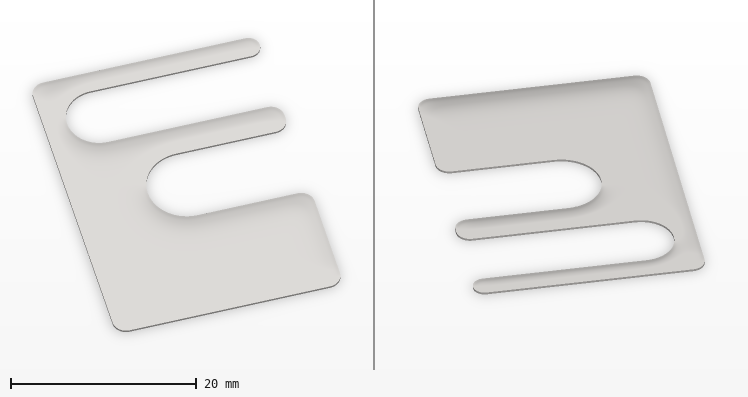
import cadquery as cq

length = 35.05
width = 25.4
thickness = 0.25
corner_radius = 1.5

outer_finger_width = 2.52
long_slot_width = 7.15
inner_finger_width = 3.5
short_slot_width = 8.7

long_slot_depth = 22.9
short_slot_depth = 17.05

outer_tip_flat = 0.007
outer_tip_radius = (outer_finger_width - outer_tip_flat) / 2

long_slot_start = outer_finger_width
long_slot_end = long_slot_start + long_slot_width
short_slot_start = long_slot_end + inner_finger_width
short_slot_end = short_slot_start + short_slot_width


def open_slot(start, slot_width, depth):
    """Round-bottomed slot that opens through the +Y edge."""
    radius = slot_width / 2
    arc_y = width - depth + radius
    return (
        cq.Workplane("XY")
        .moveTo(start, width)
        .lineTo(start, arc_y)
        .threePointArc((start + radius, width - depth), (start + slot_width, arc_y))
        .lineTo(start + slot_width, width)
        .close()
        .extrude(thickness)
    )


def round_corner(body, x, y, radius):
    """Round the vertical edge at (x, y)."""
    edge = cq.selectors.NearestToPointSelector((x, y, thickness / 2))
    return body.edges("|Z").edges(edge).fillet(radius)


plate = cq.Workplane("XY").box(length, width, thickness, centered=False)
plate = plate.cut(open_slot(long_slot_start, long_slot_width, long_slot_depth))
plate = plate.cut(open_slot(short_slot_start, short_slot_width, short_slot_depth))

for x in (0, outer_finger_width):
    plate = round_corner(plate, x, width, outer_tip_radius)

for x in (long_slot_end, short_slot_start, short_slot_end, length):
    plate = round_corner(plate, x, width, corner_radius)

for x in (0, length):
    plate = round_corner(plate, x, 0, corner_radius)

result = plate